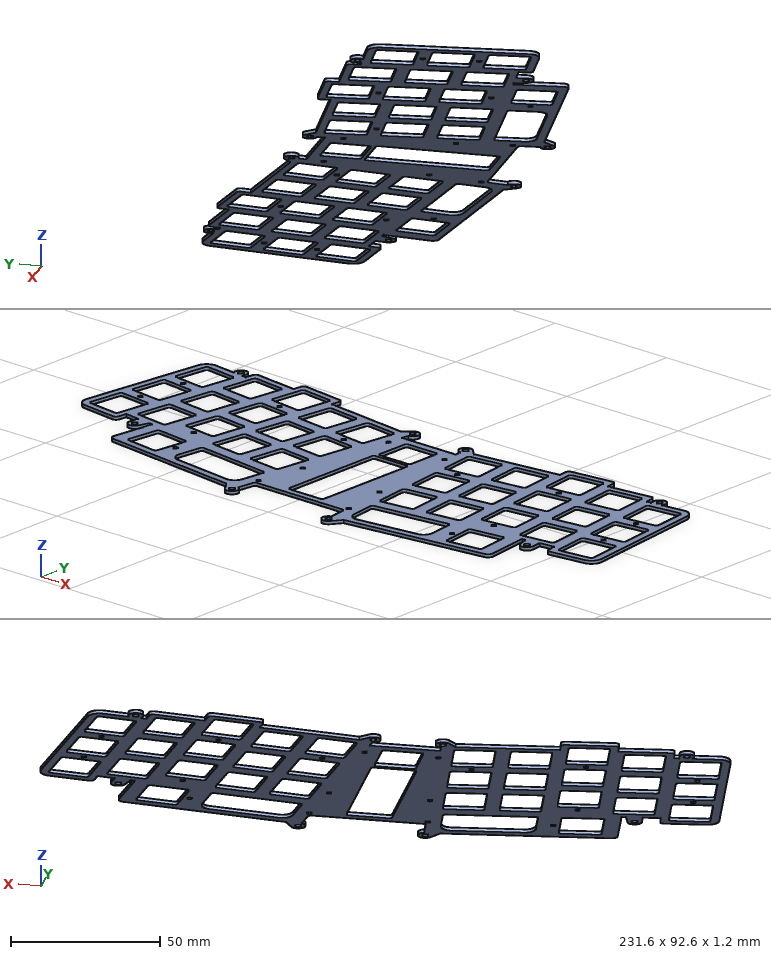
import cadquery as cq
import math


thickness = 1.2
tilt = 7.0
outer_to_inner_column = 76.2
column_bar = 5.0
row_bar = 4.6
key_corner = 1.0
rim = 2.8
outline_corner = 1.5
thumb_corner = 2.0
big_corner = 4.2

inner_column_u = -27.3
thumb_v = -34.0

thumb_key_u = -67.9
wide_key_u = -36.8
wide_key_width = 32.0
wide_key_corner = 3.7

left_u = -113.5
outer_column_top_v = 28.5
tall_top_v = 37.8
thumb_left_u = -80.5
inner_edge_u = -15.8

bridge_top = 31.0
bridge_bottom = -33.8
bridge_overlap = 2.3
bridge_corner = 1.2
window_size = 14.1
window_y = 20.5
slot_width = 15.5
slot_top = 12.0
slot_bottom = -31.0

tab_hole = 2.1
tab_wall = 1.44
tab_radius = tab_hole / 2 + tab_wall
screw_hole = 1.6
screw_u = -15.5
inner_thumb_screw_u = -16.2

pitch = outer_to_inner_column / 4
key_width = pitch - column_bar
key_height = pitch - row_bar
stagger = pitch / 4
column_shifts = [-stagger, 0, stagger, 0, 0]
middle_row_v = thumb_v + 2 * pitch
side_reach = key_width / 2 + rim
end_reach = key_height / 2 + rim
column_u = [inner_column_u - pitch * steps for steps in (4, 3, 2, 1, 0)]
column_v = [middle_row_v + shift for shift in column_shifts]
column_top = [v + pitch + end_reach for v in column_v]
column_bottom = [v - pitch - end_reach for v in column_v]
bottom_v = thumb_v - end_reach

outer_top_tab = (-98.5, 30.0)
outer_bottom_tab = (-85.2, -28.7)
inner_top_tab = (-16.2, 34.5)
inner_bottom_tab = (-16.2, -45.9)
tabs = [outer_top_tab, outer_bottom_tab, inner_top_tab, inner_bottom_tab]


def prism(points):
    return cq.Workplane("XY").polyline(points).close().extrude(thickness)


def opening(width, height, u, v, corner):
    block = cq.Workplane("XY").box(width, height, thickness, centered=(True, True, False))
    return block.edges("|Z").fillet(corner).translate((u, v, 0))


def holes(points, diameter):
    return cq.Workplane("XY").pushPoints(points).circle(diameter / 2).extrude(thickness)


def round_corners(body, points, radius):
    """Round the vertical edges that stand at the given points."""
    nearby = 0.12
    for u, v in points:
        corner_box = cq.selectors.BoxSelector(
            (u - nearby, v - nearby, -thickness), (u + nearby, v + nearby, 2 * thickness)
        )
        body = body.edges("|Z").edges(corner_box).fillet(radius)
    return body


def half_outline():
    top_left = (left_u, outer_column_top_v)
    bottom_left = (left_u, column_bottom[0])
    second_left = (column_u[1] - side_reach, column_top[1])
    middle_left = (column_u[2] - side_reach, tall_top_v)
    middle_right = (column_u[2] + side_reach, tall_top_v)
    outer_column_right = (column_u[0] + side_reach, column_bottom[0])
    thumb_left = (thumb_left_u, bottom_v)
    body = prism([
        top_left,
        (second_left[0], outer_column_top_v),
        second_left,
        (middle_left[0], column_top[1]),
        middle_left,
        middle_right,
        (middle_right[0], column_top[3]),
        (inner_edge_u, column_top[4]),
        (inner_edge_u, bottom_v),
        thumb_left,
        (thumb_left_u, column_bottom[1]),
        (outer_column_right[0], column_bottom[1]),
        outer_column_right,
        bottom_left,
    ])
    body = round_corners(body, [top_left, bottom_left], big_corner)
    body = round_corners(body, [thumb_left], thumb_corner)
    small = [second_left, middle_left, middle_right, outer_column_right]
    return round_corners(body, small, outline_corner)


def around_tab(tab, degrees):
    """Point on the rim of a tab, counted from +u."""
    angle = math.radians(degrees)
    return (tab[0] + tab_radius * math.cos(angle), tab[1] + tab_radius * math.sin(angle))


def tab_bodies():
    """Round tabs with straight-sided necks; each flare is where a neck meets the plate edge."""
    outer_bottom_flare_u = -82.0
    inner_top_flare_u = -20.5
    inner_bottom_flare_u = -21.0
    inner_top_angle = 130
    inner_bottom_angle = 220
    necks = [
        [
            outer_top_tab,
            around_tab(outer_top_tab, 0),
            (outer_top_tab[0] + tab_radius, outer_column_top_v),
            (outer_top_tab[0], outer_column_top_v),
        ],
        [
            around_tab(outer_bottom_tab, 180),
            (outer_bottom_tab[0] - tab_radius, column_bottom[1]),
            (outer_bottom_flare_u, column_bottom[1]),
            around_tab(outer_bottom_tab, 0),
        ],
        [
            (inner_top_flare_u, column_top[4]),
            around_tab(inner_top_tab, inner_top_angle),
            inner_top_tab,
            (inner_edge_u, column_top[4]),
        ],
        [
            (inner_bottom_flare_u, bottom_v),
            around_tab(inner_bottom_tab, inner_bottom_angle),
            inner_bottom_tab,
            (inner_edge_u, bottom_v),
        ],
    ]
    body = holes(tabs, 2 * tab_radius)
    for neck in necks:
        body = body.union(prism(neck))
    return body


def half_cuts():
    wide = cq.Workplane("XY").box(wide_key_width, key_width, thickness, centered=(True, True, False))
    wide = wide.edges("|Z and >Y").fillet(key_corner)
    wide = wide.edges("|Z and <Y").fillet(wide_key_corner)
    cuts = wide.translate((wide_key_u, thumb_v, 0))
    for u, v in zip(column_u, column_v):
        for row in (-1, 0, 1):
            cuts = cuts.union(opening(key_width, key_height, u, v + row * pitch, key_corner))
    cuts = cuts.union(opening(key_height, key_width, thumb_key_u, thumb_v, key_corner))

    screws = [
        (column_u[0], column_v[0] + pitch / 2),
        (column_u[0], column_v[0] - pitch / 2),
        (column_u[2], column_v[2] + pitch / 2),
        (column_u[2], column_v[2] - 1.5 * pitch),
        (column_u[4], column_v[4] + pitch / 2),
        (thumb_key_u + pitch / 2, thumb_v),
        (screw_u, column_v[4] + pitch),
        (screw_u, column_v[4] - pitch),
        (inner_thumb_screw_u, thumb_v),
    ]
    return cuts.union(holes(screws, screw_hole)).union(holes(tabs, tab_hole))


def both_sides(body):
    """Tilt a left-half body into place and add its mirror image."""
    left = body.rotate((0, 0, 0), (0, 0, 1), -tilt)
    return left.union(left.mirror("YZ"))


def inner_edge_x(y):
    """X of the left half's inner edge at height y."""
    angle = math.radians(tilt)
    return (inner_edge_u + y * math.sin(angle)) / math.cos(angle)


def bridge():
    top_x = inner_edge_x(bridge_top) - bridge_overlap
    bottom_x = inner_edge_x(bridge_bottom) - bridge_overlap
    return prism([
        (top_x, bridge_top), (-top_x, bridge_top), (-bottom_x, bridge_bottom), (bottom_x, bridge_bottom),
    ])


def bridge_cuts():
    window = opening(window_size, window_size, 0, window_y, key_corner)
    slot_height = slot_top - slot_bottom
    return window.union(opening(slot_width, slot_height, 0, (slot_top + slot_bottom) / 2, key_corner))


plate = both_sides(half_outline().union(tab_bodies())).union(bridge())
lower_bridge_corners = [(side * inner_edge_x(bridge_bottom), bridge_bottom) for side in (-1, 1)]
plate = round_corners(plate, lower_bridge_corners, bridge_corner)
result = plate.cut(both_sides(half_cuts())).cut(bridge_cuts())